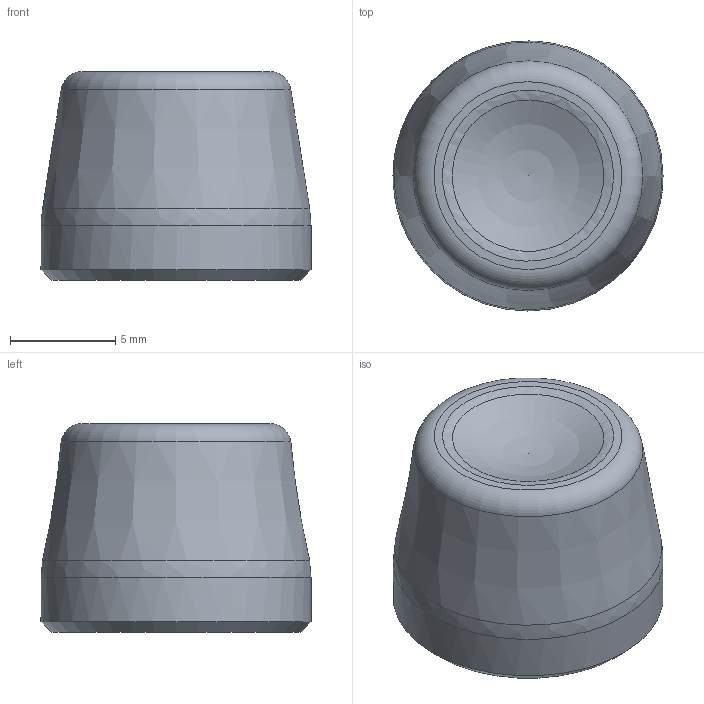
import cadquery as cq
import math

height = 9.9
base_radius = 6.4
base_chamfer = 0.5
taper_start_height = 3.0
taper_angle = math.radians(9.0)
shoulder_blend_radius = 5.0
top_edge_radius = 1.0
dish_mouth_radius = 3.8
dish_depth = 1.0
dish_lip_radius = 1.0
selection_margin = 0.01

top_radius = base_radius - (height - taper_start_height) * math.tan(taper_angle)


def knob_blank():
    """Chamfered cylindrical foot carrying a cone that narrows toward the top."""
    return (
        cq.Workplane("XZ")
        .lineTo(base_radius - base_chamfer, 0)
        .lineTo(base_radius, base_chamfer)
        .lineTo(base_radius, taper_start_height)
        .lineTo(top_radius, height)
        .lineTo(0, height)
        .close()
        .revolve(360, (0, 0, 0), (0, 1, 0))
    )


def circle_edge(radius, level):
    """Select the edges at one height that lie within a given radius of the axis."""
    reach = radius + selection_margin
    bottom = level - selection_margin
    top = level + selection_margin
    return cq.selectors.BoxSelector((-reach, -reach, bottom), (reach, reach, top), boundingbox=True)


def blend_outside(body):
    """Round the top rim and blend the foot into the taper."""
    body = body.edges(circle_edge(top_radius, height)).fillet(top_edge_radius)
    return body.edges(circle_edge(base_radius, taper_start_height)).fillet(shoulder_blend_radius)


def cut_dish(body):
    """Sink a spherical finger dish into the top face and round its lip."""
    sphere_radius = (dish_mouth_radius**2 + dish_depth**2) / (2 * dish_depth)
    sphere_centre = height - dish_depth + sphere_radius
    body = body.cut(cq.Workplane("XY").sphere(sphere_radius).translate((0, 0, sphere_centre)))
    return body.edges(circle_edge(dish_mouth_radius, height)).fillet(dish_lip_radius)


result = cut_dish(blend_outside(knob_blank()))